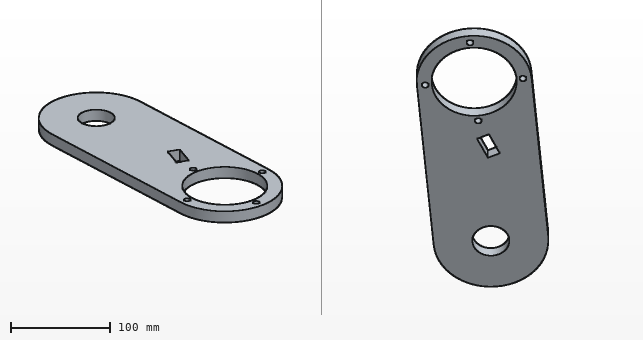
import cadquery as cq
import math

overall_length = 303.0
thickness = 12.7
end_radius = 57.5
tilt = 20.0

small_bore_diameter = 37.0
large_bore_diameter = 85.0
bolt_hole_diameter = 6.7
bolt_circle_radius = 49.0
bolt_count = 4
slot_length = 26.0
slot_width = 13.0
slot_center = (108.8, 47.5)

center_run = overall_length - 2 * end_radius
center_rise = center_run * math.tan(math.radians(tilt))
center_distance = math.hypot(center_run, center_rise)
large_center = (center_run, center_rise)


def make_plate():
    """Tilted plate with full round ends."""
    return (
        cq.Workplane("XY")
        .transformed(rotate=(0, 0, tilt))
        .center(center_distance / 2, 0)
        .slot2D(center_distance + 2 * end_radius, 2 * end_radius)
        .extrude(thickness)
    )


def make_round_cutter(center, diameter):
    """Cylinder through the full plate thickness."""
    return cq.Workplane("XY").center(*center).circle(diameter / 2).extrude(thickness)


def make_bolt_cutters():
    """Ring of bolt holes around the large bore, starting on the tilted axis."""
    return (
        cq.Workplane("XY")
        .center(*large_center)
        .polarArray(bolt_circle_radius, tilt, 360, bolt_count)
        .circle(bolt_hole_diameter / 2)
        .extrude(thickness)
    )


def make_slot_cutter():
    """Rectangular window between the bores."""
    return cq.Workplane("XY").center(*slot_center).rect(slot_length, slot_width).extrude(thickness)


result = (
    make_plate()
    .cut(make_round_cutter((0, 0), small_bore_diameter))
    .cut(make_round_cutter(large_center, large_bore_diameter))
    .cut(make_bolt_cutters())
    .cut(make_slot_cutter())
)